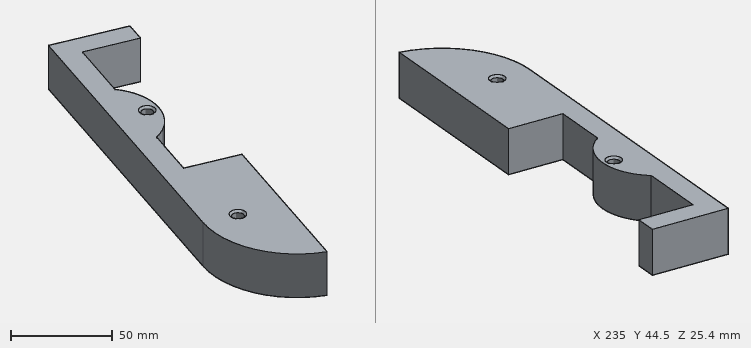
import cadquery as cq
import math

length = 235.0
width = 44.5
thickness = 25.4

wall = 12.7
head_start_x = 133.5
nose_start_x = 184.2

bump_x = 76.4
bump_half_chord = 25.0
bump_top_y = 25.4

hole_y = 19.0
hole_centers = [(76.1, hole_y), (nose_start_x, hole_y)]
hole_diameter = 6.3
countersink_diameter = 8.7
countersink_angle = 90.0

nose_run = length - nose_start_x
nose_radius = (nose_run**2 + width**2) / (2 * width)
nose_half_sweep = math.atan2(width, nose_run)
nose_mid = (
    nose_start_x + nose_radius * math.sin(nose_half_sweep),
    nose_radius * (1 - math.cos(nose_half_sweep)),
)


def make_body():
    """Extrude the bar outline, with its bump and rounded nose."""
    return (
        cq.Workplane("XY")
        .moveTo(0, 0)
        .lineTo(nose_start_x, 0)
        .threePointArc(nose_mid, (length, width))
        .lineTo(head_start_x, width)
        .lineTo(head_start_x, wall)
        .lineTo(bump_x + bump_half_chord, wall)
        .threePointArc((bump_x, bump_top_y), (bump_x - bump_half_chord, wall))
        .lineTo(wall, wall)
        .lineTo(wall, width)
        .lineTo(0, width)
        .close()
        .extrude(thickness)
    )


def cut_holes(body):
    """Cut the through holes, countersunk from the top face."""
    return (
        body.faces(">Z")
        .workplane(origin=(0, 0, thickness))
        .pushPoints(hole_centers)
        .cskHole(hole_diameter, countersink_diameter, countersink_angle)
    )


result = cut_holes(make_body())